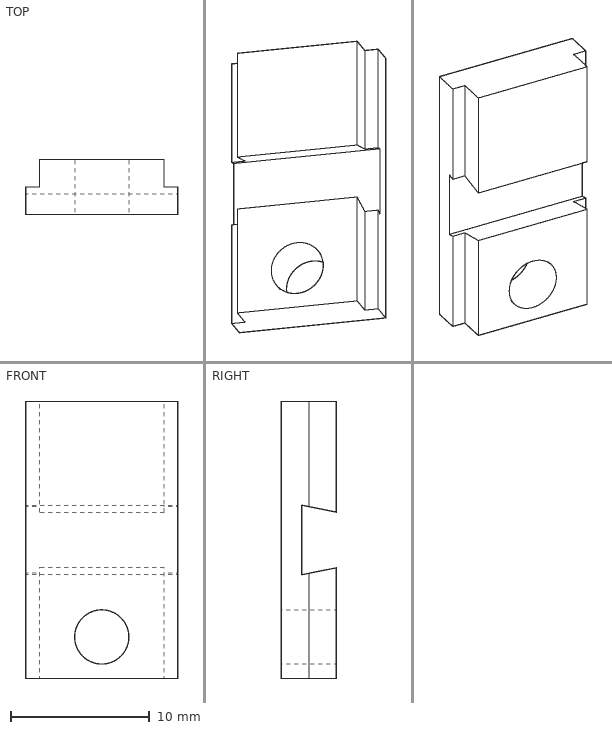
import cadquery as cq

width = 11.0
height = 20.0
thickness = 4.0

flange_thickness = 2.0
side_step = 1.0
block_width = width - 2 * side_step

hole_diameter = 3.9
hole_height = 3.0

groove_depth = 2.5
groove_mouth = 4.0
groove_floor = 5.0
groove_center_height = height / 2


def make_body():
    """T-shaped section in the XY plane, extruded to the full height."""
    flange = cq.Workplane("XY").box(
        width, flange_thickness, height, centered=(True, False, False)
    )
    block = cq.Workplane("XY").box(
        block_width, thickness, height, centered=(True, False, False)
    )
    return flange.union(block)


def make_hole():
    """Cylinder along Y that passes through the whole thickness."""
    return (
        cq.Workplane("XZ")
        .center(0, hole_height)
        .circle(hole_diameter / 2)
        .extrude(-thickness)
    )


def make_groove():
    """Dovetail prism along X that cuts the full width of the part."""
    floor_y = thickness - groove_depth
    profile = [
        (floor_y, groove_center_height - groove_floor / 2),
        (thickness, groove_center_height - groove_mouth / 2),
        (thickness, groove_center_height + groove_mouth / 2),
        (floor_y, groove_center_height + groove_floor / 2),
    ]
    return cq.Workplane("YZ").polyline(profile).close().extrude(width / 2, both=True)


result = make_body().cut(make_hole()).cut(make_groove())